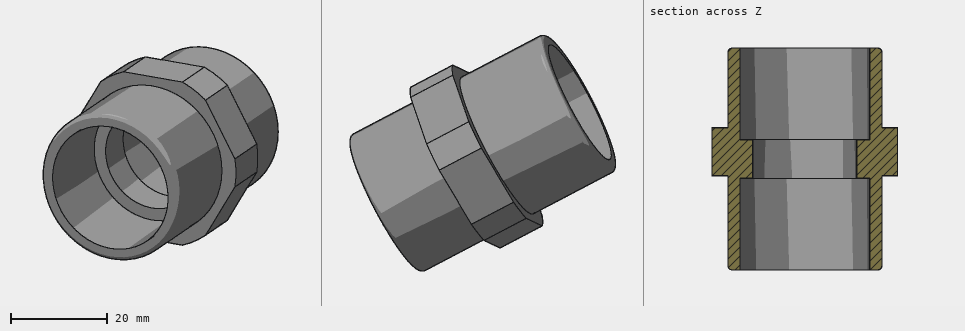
import cadquery as cq

total_length = 46.0
sleeve_diameter = 32.0
rim_fillet = 1.0

collar_width = 10.0
collar_front_offset = 19.5
across_flats = 36.0
collar_diameter = 38.5
flat_to_corner_angle = 30.0

bore_diameter = 21.5
socket_diameter = 26.8
socket_depth = 19.0

front_y = -total_length / 2
collar_y = front_y + collar_front_offset


def cylinder_along_y(diameter, start_y, length):
    """Solid cylinder on the Y axis, running toward +Y from start_y."""
    profile = cq.Workplane("XZ", origin=(0, start_y, 0)).circle(diameter / 2)
    return profile.extrude(-length)


def make_sleeve():
    sleeve = cylinder_along_y(sleeve_diameter, front_y, total_length)
    return sleeve.faces("<Y or >Y").edges().fillet(rim_fillet)


def make_collar():
    collar = cylinder_along_y(collar_diameter, collar_y, collar_width)
    hexagon = (
        cq.Workplane("XZ", origin=(0, collar_y, 0))
        .transformed(rotate=(0, 0, flat_to_corner_angle))
        .polygon(6, across_flats, circumscribed=True)
        .extrude(-collar_width)
    )
    return collar.intersect(hexagon)


def cut_bore(body):
    body = body.cut(cylinder_along_y(bore_diameter, front_y, total_length))
    for socket_y in (front_y, front_y + total_length - socket_depth):
        body = body.cut(cylinder_along_y(socket_diameter, socket_y, socket_depth))
    return body


result = cut_bore(make_sleeve().union(make_collar()))